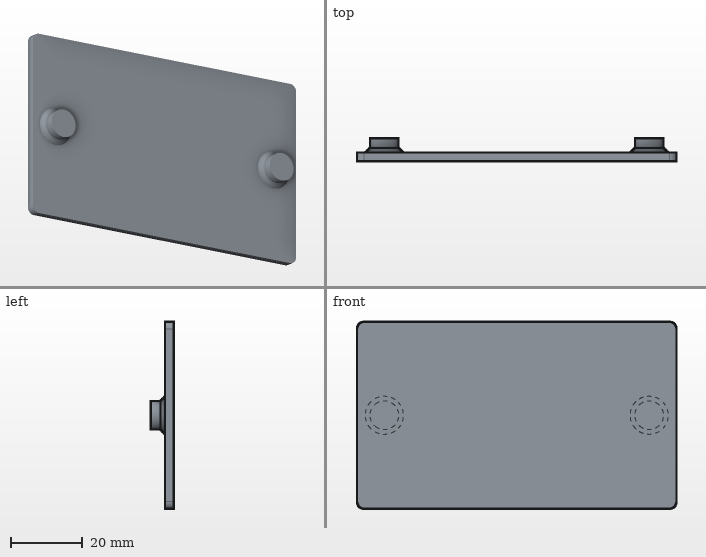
import cadquery as cq

plate_width = 88.9
plate_height = 52.07
plate_thickness = 2.5
corner_radius = 2.0

total_depth = 6.5
post_diameter = 8.0
post_edge_distance = 7.62
post_length = total_depth - plate_thickness
post_offset = plate_width / 2 - post_edge_distance

flare_height = 1.3
flare_base_diameter = post_diameter + 2 * flare_height


def make_plate():
    """Rounded rectangular plate with its front face at Y = 0."""
    plate = cq.Workplane("XY").box(
        plate_width, plate_thickness, plate_height, centered=(True, False, True)
    )
    return plate.edges("|Y").fillet(corner_radius)


def make_post(x_position):
    """Round post with a conical foot, standing on the rear face of the plate."""
    post_radius = post_diameter / 2
    profile = (
        cq.Workplane("XY")
        .moveTo(0, plate_thickness)
        .lineTo(flare_base_diameter / 2, plate_thickness)
        .lineTo(post_radius, plate_thickness + flare_height)
        .lineTo(post_radius, plate_thickness + post_length)
        .lineTo(0, plate_thickness + post_length)
        .close()
    )
    post = profile.revolve(360, (0, 0, 0), (0, 1, 0))
    return post.translate((x_position, 0, 0))


result = make_plate()
for x_position in (-post_offset, post_offset):
    result = result.union(make_post(x_position))